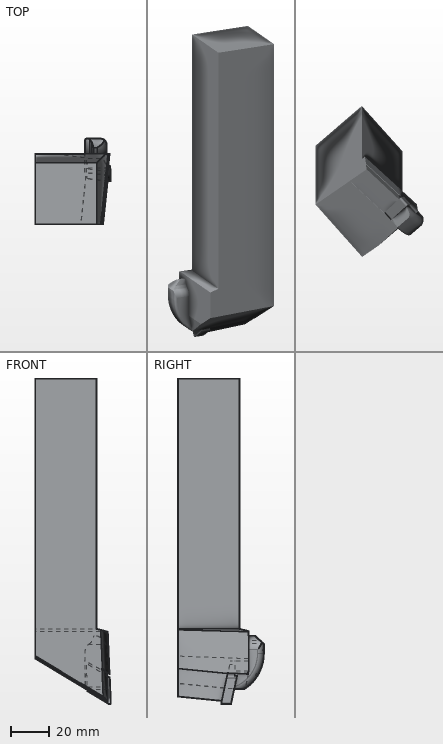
import cadquery as cq
import math


total_height = 169.16
shank_size = 32.0

head_depth = 36.7
shoulder_height = 39.2
shoulder_angle = 15.0
side_angle = 2.4
bottom_angle = 31.2
bottom_left_height = 25.1
corner_x = 35.6
side_clearance_angle = 6.0
tip_clearance_angle = 5.7
head_overrun = 20.0

relief_depth = 0.2
bottom_relief_start_x = 23.6
side_relief_start_z = 18.5

insert_corner_x = 39.52
insert_corner_z = -0.65
insert_edge = 14.5
insert_edge_angle = 31.0
insert_thickness = 5.2
insert_top_y = 27.6
insert_nose_radius = 0.8
rake_angle = 12.0
pocket_clearance = 0.9

clamp_back = 44.74
clamp_left = 25.9
clamp_right = 37.3
clamp_top = 35.6
clamp_straight_top = 31.2
clamp_straight_bottom = 26.5
clamp_top_back = 40.0
clamp_left_radius = 1.2
clamp_right_radius = 3.5
clamp_flank_top = 27.2
clamp_left_mid = (26.6, 30.0)
clamp_ledge_start = (28.5, 31.7)
clamp_ledge_end = (29.6, 33.1)
clamp_right_mid = (36.0, 32.4)
clamp_crest_left = 30.4
clamp_crest_right = 32.3
clamp_floor = 29.5
nose_y = 34.4
nose_z = 7.8
back_bevel_top_z = 17.0

reach = 100.0


def tan(angle):
    return math.tan(math.radians(angle))


def polar(point, angle, length):
    """Point at the given distance and direction from another point."""
    a = math.radians(angle)
    return (point[0] + length * math.cos(a), point[1] + length * math.sin(a))


def along_y(points, y_start, y_end):
    """Prism of an XZ outline between two Y positions."""
    outline = cq.Workplane("XZ", origin=(0, y_start, 0)).polyline(points).close()
    return outline.extrude(y_start - y_end)


def along_x(points, x_start, x_end):
    """Prism of a YZ outline between two X positions."""
    outline = cq.Workplane("YZ", origin=(x_start, 0, 0)).polyline(points).close()
    return outline.extrude(x_end - x_start)


def leaning_prism(points, depth):
    """XZ outline carried back from the front while it leans to +X and down."""
    shift_x = depth * tan(side_clearance_angle)
    shift_z = -depth * tan(tip_clearance_angle)
    back_points = [(x + shift_x, z + shift_z) for x, z in points]
    front = cq.Workplane("XZ").polyline(points).close()
    return front.workplane(offset=-depth).polyline(back_points).close().loft(ruled=True)


def head_outline():
    """Front outline of the head, with the relieved stretches next to the tip."""
    corner_z = bottom_left_height - corner_x * tan(bottom_angle)

    def bottom_z(x):
        return bottom_left_height - x * tan(bottom_angle)

    def side_x(z):
        return corner_x - (z - corner_z) * tan(side_angle)

    top_z = shoulder_height + head_overrun
    step_x = relief_depth * math.sin(math.radians(bottom_angle))
    step_z = relief_depth * math.cos(math.radians(bottom_angle))
    tip_x = corner_x - relief_depth
    return [
        (-head_overrun, top_z),
        (-head_overrun, bottom_z(-head_overrun)),
        (bottom_relief_start_x, bottom_z(bottom_relief_start_x)),
        (bottom_relief_start_x + step_x, bottom_z(bottom_relief_start_x) + step_z),
        (tip_x, bottom_z(tip_x) + relief_depth / math.cos(math.radians(bottom_angle))),
        (side_x(side_relief_start_z) - relief_depth, side_relief_start_z),
        (side_x(side_relief_start_z), side_relief_start_z),
        (side_x(top_z), top_z),
    ]


def shoulder_limit():
    """Space under both sloping shoulders and to the right of the left side."""
    drop = (reach - shank_size) * tan(shoulder_angle)
    profile = [
        (0, -reach),
        (reach, -reach),
        (reach, shoulder_height - drop),
        (shank_size, shoulder_height),
        (0, shoulder_height),
    ]
    return along_y(profile, 0, reach).intersect(along_x(profile, 0, reach))


def back_bevel():
    """Wedge that bevels the lower part of the head back, parallel to the rake."""
    low_z = -reach
    low_y = head_depth - (back_bevel_top_z - low_z) * tan(rake_angle)
    return along_x([(head_depth, back_bevel_top_z), (low_y, low_z), (reach, low_z)], 0, reach)


def rhombus(corner, edge):
    """Insert outline in XZ, starting at its cutting corner."""
    side_direction = 90 + side_angle
    bottom_direction = 180 - insert_edge_angle
    side_end = polar(corner, side_direction, edge)
    bottom_end = polar(corner, bottom_direction, edge)
    return [corner, side_end, polar(side_end, bottom_direction, edge), bottom_end]


def raked_slab(y_low, y_high):
    """Slab between two faces that tilt back with height at the rake angle."""
    lean = reach * tan(rake_angle)
    return along_x(
        [
            (y_low - lean, -reach),
            (y_high - lean, -reach),
            (y_high + lean, reach),
            (y_low + lean, reach),
        ],
        0,
        reach,
    )


def make_insert():
    blank = along_y(rhombus((insert_corner_x, insert_corner_z), insert_edge), 0, reach)
    blank = blank.edges("|Y").fillet(insert_nose_radius)
    return blank.intersect(raked_slab(insert_top_y - insert_thickness, insert_top_y))


def pocket():
    """Open space for the insert, from its seat out through the back."""
    insert_outline = rhombus((insert_corner_x, insert_corner_z), insert_edge + pocket_clearance)
    _, side_end, far_corner, bottom_end = insert_outline
    outer_x = insert_corner_x + pocket_clearance
    outline = [
        (outer_x, -head_overrun),
        (outer_x, side_end[1]),
        far_corner,
        bottom_end,
        (bottom_end[0], -head_overrun),
    ]
    return along_y(outline, 0, reach).intersect(raked_slab(insert_top_y - insert_thickness, reach))


def make_clamp():
    """Clamp: rounded side profile, narrowed towards the top."""
    body = (
        cq.Workplane("YZ", origin=(clamp_left, 0, 0))
        .moveTo(clamp_floor, nose_z)
        .lineTo(clamp_floor, clamp_top)
        .lineTo(clamp_top_back, clamp_top)
        .lineTo(clamp_back, clamp_straight_top)
        .lineTo(clamp_back, clamp_straight_bottom)
        .tangentArcPoint((nose_y, nose_z), relative=False)
        .close()
        .extrude(clamp_right - clamp_left)
    )
    body = body.faces("<X").edges(">Y").fillet(clamp_left_radius)
    body = body.faces(">X").edges(">Y").fillet(clamp_right_radius)
    front_shape = (
        cq.Workplane("XZ")
        .moveTo(clamp_left, 0)
        .lineTo(clamp_left, clamp_flank_top)
        .threePointArc(clamp_left_mid, clamp_ledge_start)
        .lineTo(*clamp_ledge_end)
        .lineTo(clamp_crest_left, clamp_top)
        .lineTo(clamp_crest_right, clamp_top)
        .threePointArc(clamp_right_mid, (clamp_right, clamp_flank_top))
        .lineTo(clamp_right, 0)
        .close()
        .extrude(-reach)
    )
    return body.intersect(front_shape)


shank = cq.Workplane("XY").box(shank_size, shank_size, total_height - shoulder_height, centered=False)
shank = shank.translate((0, 0, shoulder_height))

head_space = leaning_prism(head_outline(), reach)
head_block = cq.Workplane("XY").box(reach, head_depth, reach, centered=False)
head = head_space.intersect(shoulder_limit()).intersect(head_block)
head = head.cut(back_bevel()).cut(pocket())

clamp = make_clamp().intersect(head_space)

result = shank.union(head).union(make_insert()).union(clamp)